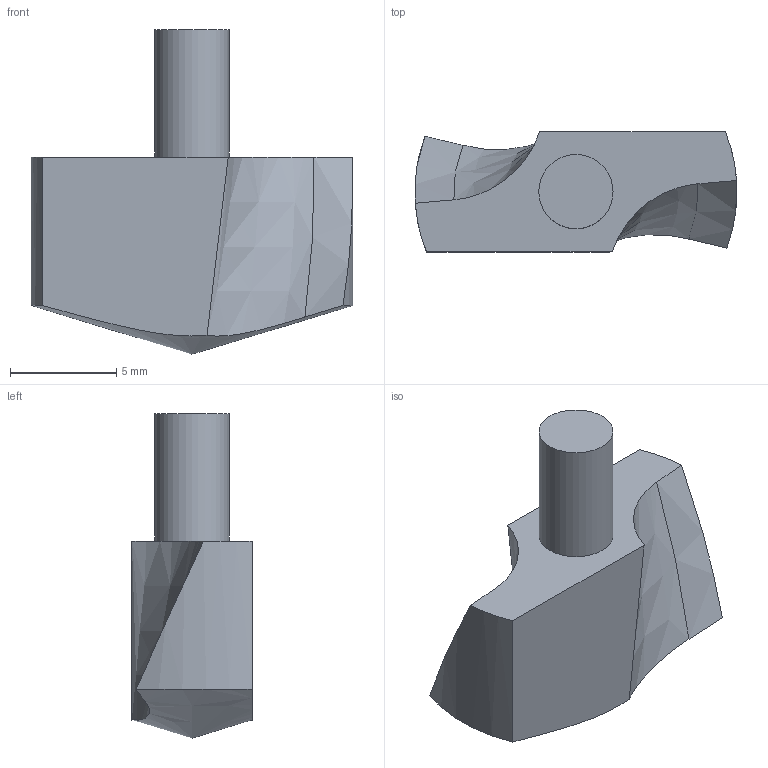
import cadquery as cq
import math

cutting_radius = 7.595
blade_thickness = 5.67
tip_height = 2.3
body_height = 7.0
shank_diameter = 3.5
shank_length = 6.0

head_height = tip_height + body_height

lip_start_x = 5.755
lip_start_y = 0.377
lip_angle = 5.0
flute_radius = 4.687
twist_per_mm = 3.48
flute_reach = 10.0


def make_head():
    """Pointed cylinder cut down to a flat blade with two parallel sides."""
    pointed_cylinder = (
        cq.Workplane("XZ")
        .moveTo(0, 0)
        .lineTo(cutting_radius, tip_height)
        .lineTo(cutting_radius, head_height)
        .lineTo(0, head_height)
        .close()
        .revolve(360, (0, 0, 0), (0, 1, 0))
    )
    blade = cq.Workplane("XY").box(
        2 * cutting_radius, blade_thickness, head_height, centered=(True, True, False)
    )
    return pointed_cylinder.intersect(blade)


def make_flute_cutter():
    """Twisted prism that removes the flute on the -Y, +X side."""
    lip = math.radians(lip_angle)
    center_x = lip_start_x + flute_radius * math.sin(lip)
    center_y = lip_start_y - flute_radius * math.cos(lip)
    arc_start = (center_x - flute_radius, center_y)

    start_angle = math.pi
    end_angle = math.pi / 2 + lip
    middle_angle = (start_angle + end_angle) / 2
    arc_middle = (
        center_x + flute_radius * math.cos(middle_angle),
        center_y + flute_radius * math.sin(middle_angle),
    )
    lip_end_y = lip_start_y + (flute_reach - lip_start_x) * math.tan(lip)

    total_twist = twist_per_mm * head_height
    return (
        cq.Workplane("XY")
        .transformed(rotate=(0, 0, -total_twist))
        .moveTo(*arc_start)
        .threePointArc(arc_middle, (lip_start_x, lip_start_y))
        .lineTo(flute_reach, lip_end_y)
        .lineTo(flute_reach, -flute_reach)
        .lineTo(arc_start[0], -flute_reach)
        .close()
        .twistExtrude(head_height, total_twist)
    )


def make_shank():
    """Round shank standing on the top of the head."""
    return (
        cq.Workplane("XY")
        .workplane(offset=head_height)
        .circle(shank_diameter / 2)
        .extrude(shank_length)
    )


result = make_head()
flute_cutter = make_flute_cutter()
for turn in (0, 180):
    result = result.cut(flute_cutter.rotate((0, 0, 0), (0, 0, 1), turn))
result = result.union(make_shank())